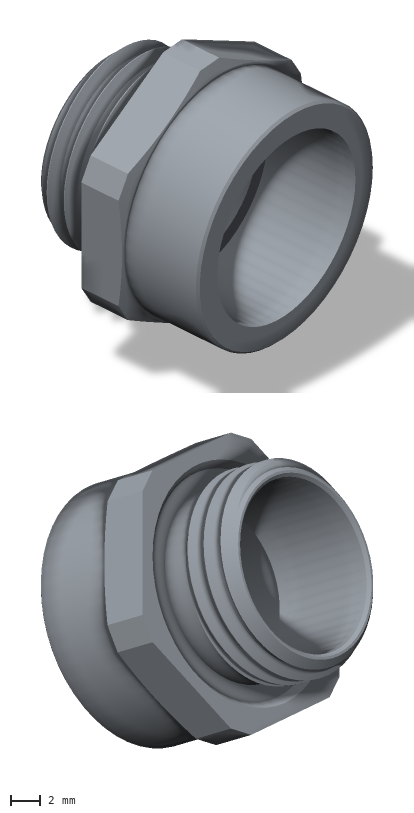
import cadquery as cq
import math

total_length = 16.0
thread_end = 4.58
hex_start = 6.03
hex_end = 9.64
counterbore_start = 8.32

bore_diameter = 12.2
counterbore_diameter = 14.4
root_diameter = 13.53
neck_diameter = 13.67
crest_diameter = 15.15
body_diameter = 18.4

bore_chamfer = 0.23
body_chamfer = 0.19
tip_radius = 6.51

across_flats = 19.0
across_cut_corners = 20.8
hex_chamfer_radius = 9.4
hex_chamfer_angle = 18.0

recess_outer_diameter = 17.06
recess_floor_diameter = 16.07
recess_depth = 0.5

pitch = 1.5
crest_flat = 0.06
flank_angle = 30.0
first_crest = 1.05
root_overlap = 0.06


def revolve_about_x(points):
    """Solid of revolution about X from an outline of (x, radius) points."""
    profile = cq.Workplane("XY").polyline(points).close()
    return profile.revolve(360, (0, 0, 0), (1, 0, 0))


def cylinder(start, end, diameter):
    return cq.Workplane("YZ").workplane(offset=start).circle(diameter / 2).extrude(end - start)


def hex_prism(flat_distance, turn):
    """Hexagonal prism over the collar length, rotated about X by turn degrees."""
    corner_diameter = flat_distance / math.cos(math.radians(30))
    prism = cq.Workplane("YZ").workplane(offset=hex_start).polygon(6, corner_diameter)
    return prism.extrude(hex_end - hex_start).rotate((0, 0, 0), (1, 0, 0), turn)


def make_collar():
    collar = hex_prism(across_flats, 30).intersect(hex_prism(across_cut_corners, 0))
    outer = across_cut_corners
    chamfer_length = (outer - hex_chamfer_radius) * math.tan(math.radians(hex_chamfer_angle))
    envelope = revolve_about_x([
        (hex_start, 0),
        (hex_start, outer),
        (hex_end - chamfer_length, outer),
        (hex_end, hex_chamfer_radius),
        (hex_end, 0),
    ])
    recess = revolve_about_x([
        (hex_start, 0),
        (hex_start, recess_outer_diameter / 2),
        (hex_start + recess_depth, recess_floor_diameter / 2),
        (hex_start + recess_depth, 0),
    ])
    return collar.intersect(envelope).cut(recess)


def make_ridge():
    """Right-hand helical ridge that runs past both ends of the threaded length."""
    base_radius = root_diameter / 2 - root_overlap
    crest_radius = crest_diameter / 2
    half_crest = crest_flat / 2
    half_base = half_crest + (crest_radius - base_radius) * math.tan(math.radians(flank_angle))
    start = first_crest - 2 * pitch
    turns = math.ceil((thread_end - start) / pitch) + 1

    path = cq.Wire.makeHelix(
        pitch, turns * pitch, base_radius, cq.Vector(start, 0, 0), cq.Vector(1, 0, 0)
    )
    begin = path.startPoint()
    radial = cq.Vector(0, begin.y, begin.z).normalized()
    axis = cq.Vector(1, 0, 0)
    section_plane = cq.Plane(origin=begin, xDir=axis, normal=axis.cross(radial))
    section = cq.Workplane(section_plane).polyline([
        (-half_base, 0),
        (-half_crest, crest_radius - base_radius),
        (half_crest, crest_radius - base_radius),
        (half_base, 0),
    ]).close()
    ridge = section.sweep(cq.Workplane(obj=path), isFrenet=True)

    start_angle = math.degrees(math.atan2(begin.z, begin.y))
    return ridge.rotate((0, 0, 0), (1, 0, 0), 90 - start_angle)


def make_threaded_end():
    """Core and ridge, trimmed to the threaded length with a 45 degree lead-in."""
    overrun = 4 * pitch
    core = cylinder(-overrun, thread_end + overrun, root_diameter)
    trim = revolve_about_x([
        (0, 0),
        (0, tip_radius),
        (thread_end, tip_radius + thread_end),
        (thread_end, 0),
    ])
    return core.union(make_ridge()).intersect(trim)


def make_body():
    body = cylinder(hex_start + recess_depth, total_length, body_diameter)
    return body.faces(">X").chamfer(body_chamfer)


def make_bore():
    """Through bore with a chamfered mouth and a wider socket open at the +X end."""
    bore = cylinder(0, total_length, bore_diameter)
    bore_radius = bore_diameter / 2
    lead_in = revolve_about_x([
        (0, 0),
        (0, bore_radius + bore_chamfer),
        (bore_chamfer, bore_radius),
        (bore_chamfer, 0),
    ])
    counterbore = cylinder(counterbore_start, total_length, counterbore_diameter)
    return bore.union(lead_in).union(counterbore)


neck = cylinder(thread_end, hex_end, neck_diameter)
shell = make_threaded_end().union(neck).union(make_collar()).union(make_body())
result = shell.cut(make_bore())